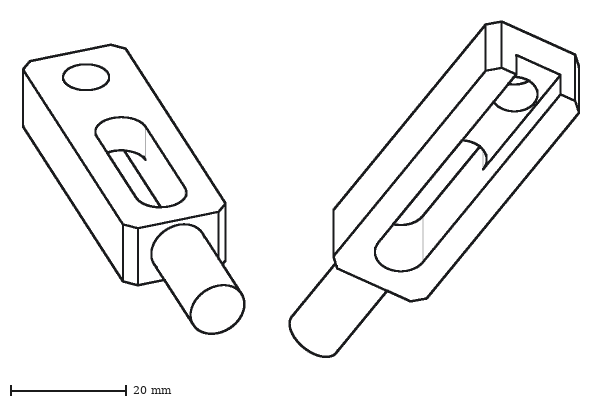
import cadquery as cq

total_length = 75.0
body_width = 19.0
body_height = 12.0
pin_length = 20.0
pin_diameter = 10.0
body_length = total_length - pin_length
corner_chamfer = 2.0

hole_diameter = 8.0
hole_x = 8.0
slot_width = 9.0
slot_length = 29.0
slot_end_wall = 4.5
slot_end_x = body_length - slot_end_wall
slot_center_x = slot_end_x - slot_length / 2
groove_depth = 5.0


def make_body():
    """Rectangular block with chamfered vertical corners."""
    block = cq.Workplane("XY").box(body_length, body_width, body_height, centered=(False, True, False))
    return block.edges("|Z").chamfer(corner_chamfer)


def make_pin():
    """Round pin centred on the +X end face."""
    end_face = cq.Workplane("YZ", origin=(body_length, 0, body_height / 2))
    return end_face.circle(pin_diameter / 2).extrude(pin_length)


def make_hole():
    """Vertical through hole near the -X end."""
    return cq.Workplane("XY").center(hole_x, 0).circle(hole_diameter / 2).extrude(body_height)


def make_slot():
    """Vertical through slot with round ends."""
    return cq.Workplane("XY").center(slot_center_x, 0).slot2D(slot_length, slot_width).extrude(body_height)


def make_groove():
    """Underside groove, open at the -X face and running into the slot."""
    return cq.Workplane("XY").box(slot_center_x, slot_width, groove_depth, centered=(False, True, False))


result = make_body().union(make_pin())
result = result.cut(make_hole()).cut(make_slot()).cut(make_groove())